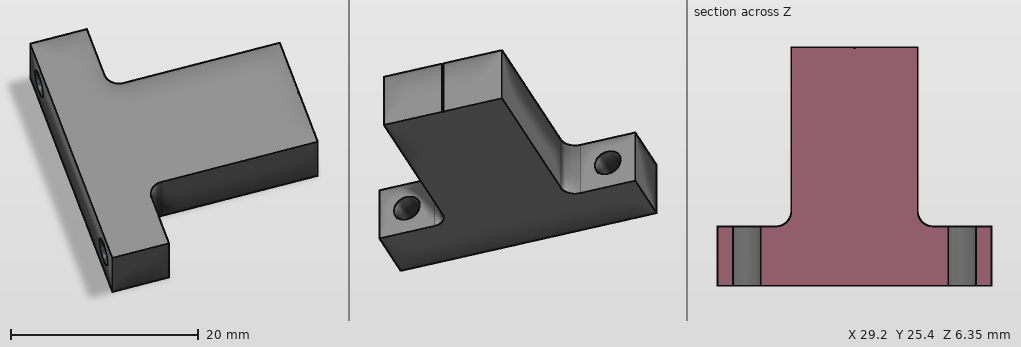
import cadquery as cq

flange_width = 29.2
total_depth = 25.4
thickness = 6.35
flange_depth = thickness
stem_width = 13.5
corner_radius = 1.6
hole_diameter = 2.95
hole_spacing = 22.93
notch_width = 0.2
notch_depth = notch_width / 2


def block(width, depth):
    """Block of full thickness, centred on X and Z, with its front face at Y = 0."""
    return cq.Workplane("XY").box(width, depth, thickness, centered=(True, False, True))


body = block(flange_width, flange_depth).union(block(stem_width, total_depth))

for side in (-1, 1):
    inside_corner = cq.selectors.NearestToPointSelector((side * stem_width / 2, flange_depth, 0))
    body = body.edges("|Z").edges(inside_corner).fillet(corner_radius)

hole_centers = [(-hole_spacing / 2, 0), (hole_spacing / 2, 0)]
holes = (
    cq.Workplane("XZ")
    .pushPoints(hole_centers)
    .circle(hole_diameter / 2)
    .extrude(-flange_depth)
)

notch = (
    cq.Workplane("XY", origin=(0, 0, -thickness / 2))
    .moveTo(-notch_width / 2, total_depth)
    .lineTo(0, total_depth - notch_depth)
    .lineTo(notch_width / 2, total_depth)
    .close()
    .extrude(thickness)
)

result = body.cut(holes).cut(notch)